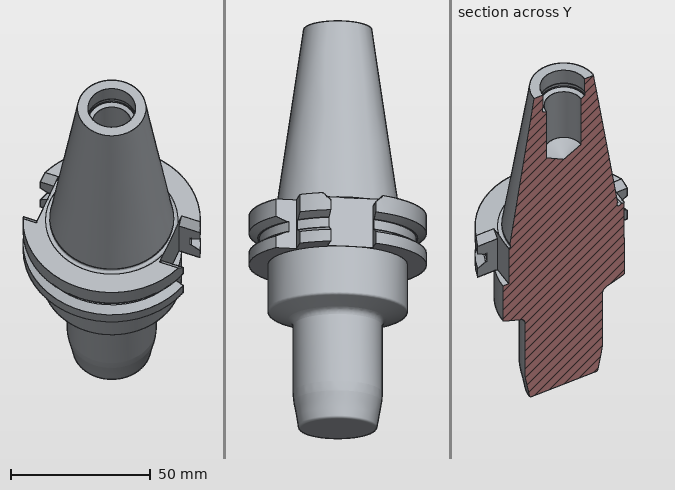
import cadquery as cq
import math


GAUGE_DIAMETER = 44.45
TAPER_RATIO = 7 / 24
SHANK_TOP = 68.25
TOTAL_LENGTH = 148.25
NOSE_Z = SHANK_TOP - TOTAL_LENGTH

NECK_DIAMETER = 43.85
NECK_CHAMFER_HEIGHT = (GAUGE_DIAMETER - NECK_DIAMETER) / 2
RELIEF_MOUTH_DIAMETER = 47.4
RELIEF_SLOPE_ANGLE = 30
RELIEF_ROOT_FILLET = 0.65

FLANGE_DIAMETER = 63.55
FLANGE_TOP = -1.0
FLANGE_BOTTOM = -19.1
GROOVE_ROOT_DIAMETER = 56.25
GROOVE_CENTER_Z = -11.1
GROOVE_ROOT_WIDTH = 3.7
GROOVE_MOUTH_WIDTH = 7.3
GROOVE_FLANK_ANGLE = 30

SLOT_WIDTH = 16.39
LEFT_SLOT_FLOOR = 24.8
RIGHT_SLOT_FLOOR = 22.6
SLOT_CHAMFER = 2.7
NOTCH_OFFSET = 18.5

BODY_DIAMETER = 50.0
BODY_BOTTOM = -36.9
BODY_EDGE_RADIUS = 1.0
SHOULDER_ANGLE = 20
SHOULDER_FILLET = 2.5

NOSE_DIAMETER = 32.0
NOSE_TAPER_ANGLE = 10
NOSE_BLEND_RADIUS = 20.0
NOSE_TAPER_Z = -68.5
NOSE_EDGE_RADIUS = 1.0

PILOT_DIAMETER = 17.01
PILOT_DEPTH = 6.4
UNDERCUT_DIAMETER = 17.41
UNDERCUT_TRANSITION = 0.4
SEAT_DEPTH = 8.4
THREAD_DIAMETER = 14.0
THREAD_DEPTH = 32.0
DRILL_HALF_ANGLE = 60


def cone_height(radius):
    """Axial length of a drill-point cone that narrows by the given radius."""
    return radius / math.tan(math.radians(DRILL_HALF_ANGLE))


def revolve_profile(points):
    """Solid of revolution about Z of a closed (radius, z) outline."""
    return cq.Workplane("XZ").polyline(points).close().revolve(360, (0, 0, 0), (0, 1, 0))


def fillet_rim(body, radius, z, size):
    """Round the full circular edge of the given radius at height z."""
    margin = 0.05
    rim = cq.selectors.BoxSelector(
        (-radius - margin, -radius - margin, z - margin),
        (radius + margin, radius + margin, z + margin),
        boundingbox=True,
    )
    return body.edges(rim).fillet(size)


def turned_body():
    """Outer form from shank end to nose, without groove, slots or hole."""
    gauge_radius = GAUGE_DIAMETER / 2
    shank_end_radius = (GAUGE_DIAMETER - SHANK_TOP * TAPER_RATIO) / 2
    neck_radius = NECK_DIAMETER / 2
    relief_mouth_radius = RELIEF_MOUTH_DIAMETER / 2
    relief_slope = math.tan(math.radians(RELIEF_SLOPE_ANGLE))
    relief_root_z = FLANGE_TOP - (relief_mouth_radius - neck_radius) * relief_slope
    body_radius = BODY_DIAMETER / 2
    nose_radius = NOSE_DIAMETER / 2
    shoulder_z = BODY_BOTTOM - (body_radius - nose_radius) * math.tan(math.radians(SHOULDER_ANGLE))
    nose_taper_length = NOSE_TAPER_Z - NOSE_Z
    nose_end_radius = nose_radius - nose_taper_length * math.tan(math.radians(NOSE_TAPER_ANGLE))

    body = revolve_profile([
        (0, SHANK_TOP),
        (shank_end_radius, SHANK_TOP),
        (gauge_radius, 0),
        (neck_radius, -NECK_CHAMFER_HEIGHT),
        (neck_radius, relief_root_z),
        (relief_mouth_radius, FLANGE_TOP),
        (FLANGE_DIAMETER / 2, FLANGE_TOP),
        (FLANGE_DIAMETER / 2, FLANGE_BOTTOM),
        (body_radius, FLANGE_BOTTOM),
        (body_radius, BODY_BOTTOM),
        (nose_radius, shoulder_z),
        (nose_radius, NOSE_TAPER_Z),
        (nose_end_radius, NOSE_Z),
        (0, NOSE_Z),
    ])
    body = fillet_rim(body, neck_radius, relief_root_z, RELIEF_ROOT_FILLET)
    body = fillet_rim(body, body_radius, BODY_BOTTOM, BODY_EDGE_RADIUS)
    body = fillet_rim(body, nose_radius, shoulder_z, SHOULDER_FILLET)
    body = fillet_rim(body, nose_radius, NOSE_TAPER_Z, NOSE_BLEND_RADIUS)
    return fillet_rim(body, nose_end_radius, NOSE_Z, NOSE_EDGE_RADIUS)


def gripper_groove():
    """V-groove cutter with a narrow flat ledge between each flank and the root."""
    root_radius = GROOVE_ROOT_DIAMETER / 2
    rim_radius = FLANGE_DIAMETER / 2
    half_root = GROOVE_ROOT_WIDTH / 2
    half_mouth = GROOVE_MOUTH_WIDTH / 2
    flank_end_radius = rim_radius - (half_mouth - half_root) / math.tan(math.radians(GROOVE_FLANK_ANGLE))
    return revolve_profile([
        (root_radius, GROOVE_CENTER_Z + half_root),
        (flank_end_radius, GROOVE_CENTER_Z + half_root),
        (rim_radius, GROOVE_CENTER_Z + half_mouth),
        (rim_radius, GROOVE_CENTER_Z - half_mouth),
        (flank_end_radius, GROOVE_CENTER_Z - half_root),
        (root_radius, GROOVE_CENTER_Z - half_root),
    ])


def drive_slot(floor, direction):
    """Slot cutter with flared top edges, from its floor outward along +X or -X."""
    half_width = SLOT_WIDTH / 2
    flared_half_width = half_width + SLOT_CHAMFER
    flare_z = FLANGE_TOP - SLOT_CHAMFER
    outline = [
        (-half_width, FLANGE_BOTTOM),
        (half_width, FLANGE_BOTTOM),
        (half_width, flare_z),
        (flared_half_width, FLANGE_TOP),
        (-flared_half_width, FLANGE_TOP),
        (-half_width, flare_z),
    ]
    reach = FLANGE_DIAMETER / 2 - floor
    return (
        cq.Workplane("YZ", origin=(direction * floor, 0, 0))
        .polyline(outline)
        .close()
        .extrude(direction * reach)
    )


def orientation_notch():
    """Square corner cut through the flange at its -X, +Y side."""
    reach = FLANGE_DIAMETER / 2
    return (
        cq.Workplane(origin=(0, 0, FLANGE_BOTTOM))
        .moveTo(-NOTCH_OFFSET, NOTCH_OFFSET)
        .lineTo(-NOTCH_OFFSET, reach)
        .lineTo(-reach, reach)
        .lineTo(-reach, NOTCH_OFFSET)
        .close()
        .extrude(FLANGE_TOP - FLANGE_BOTTOM)
    )


def pull_stud_hole():
    """Stepped hole: pilot, shallow undercut, conical seat, thread core and drill point."""
    pilot_radius = PILOT_DIAMETER / 2
    undercut_radius = UNDERCUT_DIAMETER / 2
    thread_radius = THREAD_DIAMETER / 2
    undercut_z = SHANK_TOP - PILOT_DEPTH
    seat_z = SHANK_TOP - SEAT_DEPTH
    thread_end_z = SHANK_TOP - THREAD_DEPTH
    return revolve_profile([
        (0, SHANK_TOP),
        (pilot_radius, SHANK_TOP),
        (pilot_radius, undercut_z),
        (undercut_radius, undercut_z - UNDERCUT_TRANSITION),
        (undercut_radius, seat_z + UNDERCUT_TRANSITION),
        (pilot_radius, seat_z),
        (thread_radius, seat_z - cone_height(pilot_radius - thread_radius)),
        (thread_radius, thread_end_z),
        (0, thread_end_z - cone_height(thread_radius)),
    ])


result = (
    turned_body()
    .cut(gripper_groove())
    .cut(drive_slot(LEFT_SLOT_FLOOR, -1))
    .cut(drive_slot(RIGHT_SLOT_FLOOR, 1))
    .cut(orientation_notch())
    .cut(pull_stud_hole())
)